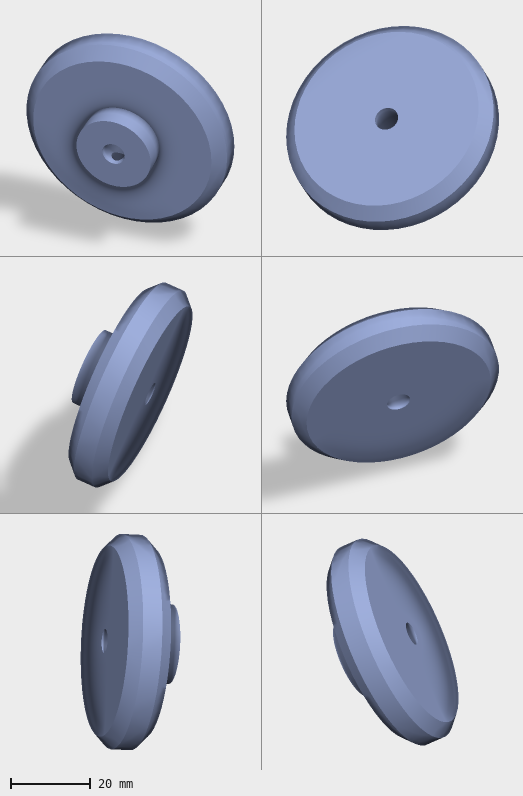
import cadquery as cq

wheel_diameter = 54.0
wheel_width = 11.0
rim_chamfer = 3.0
hub_diameter = 20.0
hub_length = 6.0
bore_diameter = 6.0
set_screw_diameter = 3.2

total_length = wheel_width + hub_length
hub_face_y = -total_length / 2
wheel_front_y = hub_face_y + hub_length


def cylinder_along_y(diameter, start_y, length):
    plane = cq.Workplane("XZ").workplane(offset=-start_y)
    return plane.circle(diameter / 2).extrude(-length)


wheel = cylinder_along_y(wheel_diameter, wheel_front_y, wheel_width)
wheel = wheel.faces("<Y or >Y").edges().chamfer(rim_chamfer)
hub = cylinder_along_y(hub_diameter, hub_face_y, hub_length)
bore = cylinder_along_y(bore_diameter, hub_face_y, total_length)

hub_middle_y = hub_face_y + hub_length / 2
set_screw_hole = (
    cq.Workplane("XY")
    .center(0, hub_middle_y)
    .circle(set_screw_diameter / 2)
    .extrude(-hub_diameter / 2)
)

result = wheel.union(hub).cut(bore).cut(set_screw_hole)